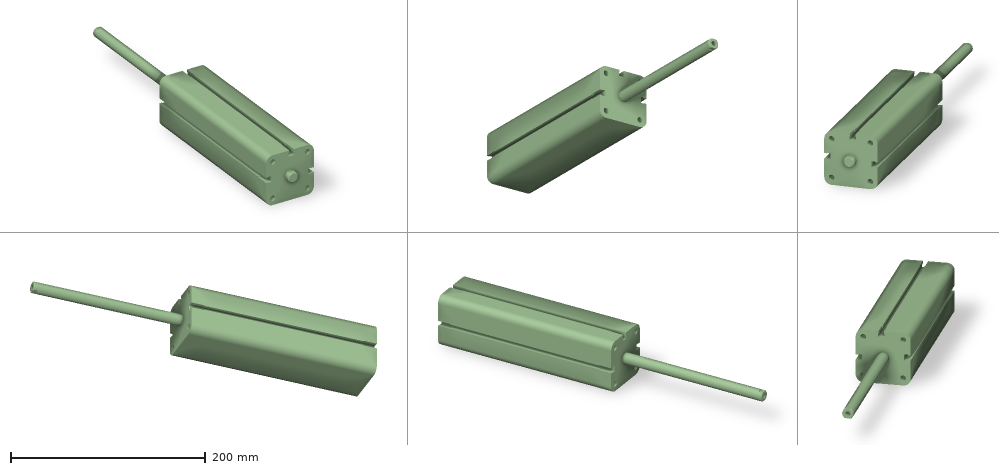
import cadquery as cq

TOTAL_LENGTH = 379.0
FRONT_ROD_LENGTH = 165.5
REAR_ROD_LENGTH = 7.0
CAP_LENGTH = 14.8

FRONT_TIP_X = -TOTAL_LENGTH / 2
REAR_TIP_X = TOTAL_LENGTH / 2
FRONT_CAP_X = FRONT_TIP_X + FRONT_ROD_LENGTH
BARREL_X = FRONT_CAP_X + CAP_LENGTH
REAR_CAP_X = REAR_TIP_X - REAR_ROD_LENGTH - CAP_LENGTH
BARREL_LENGTH = REAR_CAP_X - BARREL_X

BODY_SIDE = 58.0
CORNER_RADIUS = 8.0
BOLT_SPACING = 42.0
CAP_HOLE_DIAMETER = 6.0
BARREL_HOLE_DIAMETER = 5.0

SLOT_OFFSET = 2.0
SLOT_LIP_THICKNESS = 3.0
SLOT_DEPTH = 7.0
SLOT_INNER_WIDTH = 7.0
BARREL_SLOT_OPENING = 4.5
CAP_SLOT_OPENING = 5.5
SLOT_ANGLES = (-90, 0, 90)

ROD_DIAMETER = 12.0
ACROSS_FLATS = 10.2
FRONT_FLAT_LENGTH = 5.0
REAR_FLAT_LENGTH = 5.5
FRONT_CHAMFER = 0.8
REAR_CHAMFER = 1.0
ROD_HOLE_DIAMETER = 5.3
ROD_HOLE_DEPTH = 15.0
DRILL_POINT_DEPTH = 1.5


def t_slot_cutter(length, opening):
    """T-slot along X for the top face, starting at X = 0."""
    top = BODY_SIDE / 2
    opening_cut = cq.Workplane("XY").box(length, opening, SLOT_DEPTH, centered=(False, True, False))
    inner_cut = cq.Workplane("XY").box(
        length, SLOT_INNER_WIDTH, SLOT_DEPTH - SLOT_LIP_THICKNESS, centered=(False, True, False)
    )
    return opening_cut.union(inner_cut).translate((0, SLOT_OFFSET, top - SLOT_DEPTH))


def make_section(start_x, length, slot_opening, bolt_hole_diameter):
    """Rounded square block with a rod bore, bolt holes and T-slots."""
    block = (
        cq.Workplane("YZ")
        .rect(BODY_SIDE, BODY_SIDE)
        .extrude(length)
        .edges("|X")
        .fillet(CORNER_RADIUS)
    )
    bore = cq.Workplane("YZ").circle(ROD_DIAMETER / 2).extrude(length)
    bolt_holes = (
        cq.Workplane("YZ")
        .rect(BOLT_SPACING, BOLT_SPACING, forConstruction=True)
        .vertices()
        .circle(bolt_hole_diameter / 2)
        .extrude(length)
    )
    block = block.cut(bore).cut(bolt_holes)
    slot = t_slot_cutter(length, slot_opening)
    for angle in SLOT_ANGLES:
        block = block.cut(slot.rotate((0, 0, 0), (1, 0, 0), angle))
    return block.translate((start_x, 0, 0))


def flats_cutter(start_x, length):
    """Pair of blocks that leave two flats on the rod, facing +Z and -Z."""
    blocks = cq.Workplane("XY").box(length, ROD_DIAMETER, ROD_DIAMETER, centered=(False, True, True))
    kept = cq.Workplane("XY").box(length, ROD_DIAMETER, ACROSS_FLATS, centered=(False, True, True))
    return blocks.cut(kept).translate((start_x, 0, 0))


def make_rod():
    """Rod running through the whole cylinder, with a blind drilled hole in its front tip."""
    radius = ROD_DIAMETER / 2
    hole_radius = ROD_HOLE_DIAMETER / 2
    hole_bottom_x = FRONT_TIP_X + ROD_HOLE_DEPTH
    rod = (
        cq.Workplane("XZ")
        .moveTo(FRONT_TIP_X, hole_radius)
        .lineTo(FRONT_TIP_X, radius - FRONT_CHAMFER)
        .lineTo(FRONT_TIP_X + FRONT_CHAMFER, radius)
        .lineTo(REAR_TIP_X - REAR_CHAMFER, radius)
        .lineTo(REAR_TIP_X, radius - REAR_CHAMFER)
        .lineTo(REAR_TIP_X, 0)
        .lineTo(hole_bottom_x + DRILL_POINT_DEPTH, 0)
        .lineTo(hole_bottom_x, hole_radius)
        .close()
        .revolve(360, (0, 0, 0), (1, 0, 0))
    )
    rod = rod.cut(flats_cutter(FRONT_TIP_X, FRONT_FLAT_LENGTH))
    return rod.cut(flats_cutter(REAR_TIP_X - REAR_FLAT_LENGTH, REAR_FLAT_LENGTH))


front_cap = make_section(FRONT_CAP_X, CAP_LENGTH, CAP_SLOT_OPENING, CAP_HOLE_DIAMETER)
rear_cap = make_section(REAR_CAP_X, CAP_LENGTH, CAP_SLOT_OPENING, CAP_HOLE_DIAMETER)
barrel = make_section(BARREL_X, BARREL_LENGTH, BARREL_SLOT_OPENING, BARREL_HOLE_DIAMETER)
rod = make_rod()

result = cq.Compound.makeCompound([front_cap.val(), rear_cap.val(), barrel.val(), rod.val()])